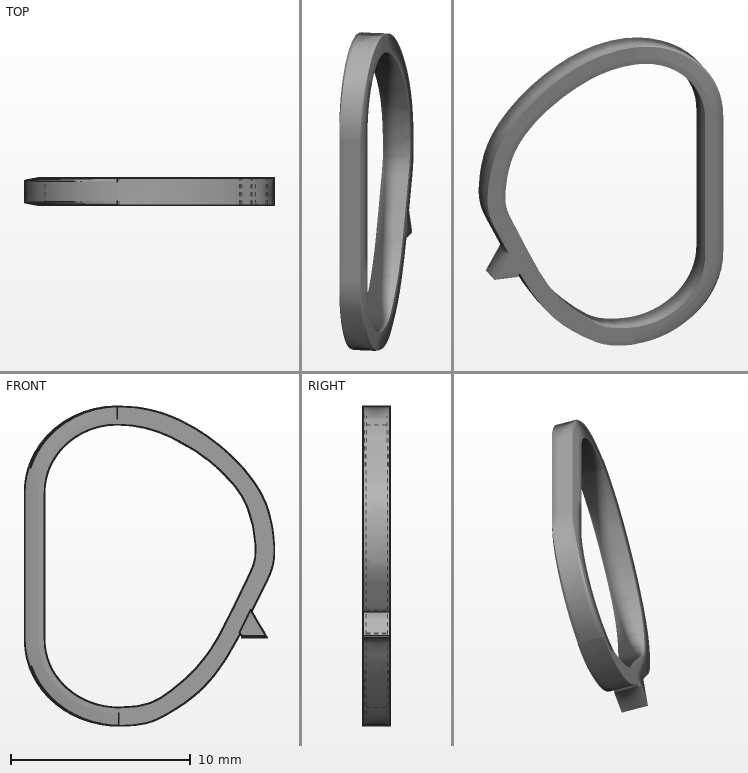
import cadquery as cq

height = 17.78
depth = 1.53

bar_bottom = 4.78
bar_top = height - bar_bottom
bar_wall = 1.12

crown_x = 5.15
base_x = 5.25
cap_wall = 1.03

outer_upper = [(9.57, 16.5), (12.15, 14.35), (13.48, 12.21), (13.89, 10.06)]
outer_flank = [(13.5, 8.09), (12.6, 6.31)]
outer_lower = [(11.13, 3.63), (9.73, 1.92), (7.91, 0.64)]
inner_upper = [(8.15, 16.05), (10.75, 14.33), (12.37, 12.2), (12.84, 10.06)]
inner_flank = [(12.53, 8.5), (11.63, 6.61)]
inner_lower = [(10.75, 4.9), (9.53, 3.2), (8.09, 1.92)]

bar_bevel = (0.8, 0.16)
cap_bevel = (0.7, 0.21)
bar_ridge_reach = 0.15
bar_ridge = (bar_ridge_reach, bar_bevel[1] * (1 - bar_ridge_reach / bar_bevel[0]))
cap_ridge = (0.02, 0.02)
cutter_margin = 0.18
joint_tolerance = 0.001

tooth_apex = (12.57, 6.45)
tooth_heel = (11.95, 5.2)
tooth_toe_x = 13.42
tooth_base_z = 5.01
foot_thickness = 0.1
foot_heel_x = 12.07


def corner(center, radii, start):
    """Quarter ellipse in XZ, running counter-clockwise from the start angle."""
    return cq.Edge.makeEllipse(
        max(radii), min(radii), cq.Vector(center[0], 0, center[1]),
        cq.Vector(0, -1, 0), cq.Vector(1, 0, 0), start, start + 90,
    )


def line(start, end):
    return cq.Edge.makeLine(cq.Vector(start[0], 0, start[1]), cq.Vector(end[0], 0, end[1]))


def curve(points, tangents):
    vectors = [cq.Vector(x, 0, z) for x, z in points]
    return cq.Edge.makeSpline(vectors, tangents=[cq.Vector(x, 0, z) for x, z in tangents])


def left_edges(side, cap):
    """Upper corner, bar and lower corner, inset by the side and cap walls."""
    rise = bar_bottom - cap
    return (
        corner((crown_x, bar_top), (crown_x - side, rise), 90),
        line((side, bar_top), (side, bar_bottom)),
        corner((base_x, bar_bottom), (base_x - side, rise), 180),
    )


def outline(side, cap, upper, flank, lower):
    slope = (flank[1][0] - flank[0][0], flank[1][1] - flank[0][1])
    right = [
        curve([(crown_x, height - cap), *upper, flank[0]], [(1, 0), slope]),
        line(*flank),
        curve([flank[1], *lower, (base_x, cap)], [slope, (-1, 0)]),
    ]
    return cq.Wire.assembleEdges([*left_edges(side, cap)[::-1], *right[::-1]])


def prism(wire):
    """Solid of full ring depth, centred on the XZ plane."""
    face = cq.Face.makeFromWires(wire)
    return cq.Solid.extrudeLinear(face, cq.Vector(0, depth, 0)).translate(cq.Vector(0, -depth / 2, 0))


def bevel_section(point, inward, bevel, ridge, face):
    """Section removed at a point of the outer edge, on the front (-1) or back (+1) face."""
    edge = cq.Vector(point[0], face * depth / 2, point[1])
    across = cq.Vector(inward[0], 0, inward[1])
    down = cq.Vector(0, -face, 0)
    outside = across * -cutter_margin
    above = down * -cutter_margin
    corners = [
        edge + outside + above,
        edge + across * bevel[0] + above,
        edge + across * bevel[0],
        edge + across * ridge[0] + down * ridge[1],
        edge + down * bevel[1],
        edge + down * bevel[1] + outside,
    ]
    return cq.Wire.makePolygon(corners, close=True)


def bevel_cutters(face):
    """Constant bevel along the bar, fading out round both corners."""
    upper, bar, lower = left_edges(0, 0)
    bar_upper = bevel_section((0, bar_top), (1, 0), bar_bevel, bar_ridge, face)
    bar_lower = bevel_section((0, bar_bottom), (1, 0), bar_bevel, bar_ridge, face)
    crown = bevel_section((crown_x, height), (0, -1), cap_bevel, cap_ridge, face)
    base = bevel_section((base_x, 0), (0, 1), cap_bevel, cap_ridge, face)
    shift = cq.Vector(0, face * depth / 2, 0)
    return [
        cq.Solid.sweep_multi([crown, bar_upper], cq.Wire.assembleEdges([upper.translate(shift)])),
        cq.Solid.sweep(bar_upper, [], cq.Wire.assembleEdges([bar.translate(shift)])),
        cq.Solid.sweep_multi([bar_lower, base], cq.Wire.assembleEdges([lower.translate(shift)])),
    ]


def make_tooth():
    points = [tooth_apex, tooth_heel, (foot_heel_x, tooth_base_z), (tooth_toe_x, tooth_base_z)]
    return prism(cq.Wire.makePolygon([cq.Vector(x, 0, z) for x, z in points], close=True))


def make_foot():
    """Plate under the tooth whose toe end continues the tooth's sloping side."""
    side_slope = (tooth_toe_x - tooth_apex[0]) / (tooth_apex[1] - tooth_base_z)
    bottom = tooth_base_z - foot_thickness
    points = [
        (foot_heel_x, tooth_base_z),
        (foot_heel_x, bottom),
        (tooth_toe_x + side_slope * foot_thickness, bottom),
        (tooth_toe_x, tooth_base_z),
    ]
    return prism(cq.Wire.makePolygon([cq.Vector(x, 0, z) for x, z in points], close=True))


def make_ring(tooth, foot):
    """Beveled ring, notched to seat the tooth."""
    outer = prism(outline(0, 0, outer_upper, outer_flank, outer_lower))
    opening = prism(outline(bar_wall, cap_wall, inner_upper, inner_flank, inner_lower))
    cutters = [*bevel_cutters(-1), *bevel_cutters(1)]
    return outer.cut(*cutters, tol=joint_tolerance).cut(opening, tooth, foot)


tooth = make_tooth()
foot = make_foot()
ring = make_ring(tooth, foot)

result = cq.Compound.makeCompound([*ring.Solids(), tooth, foot])